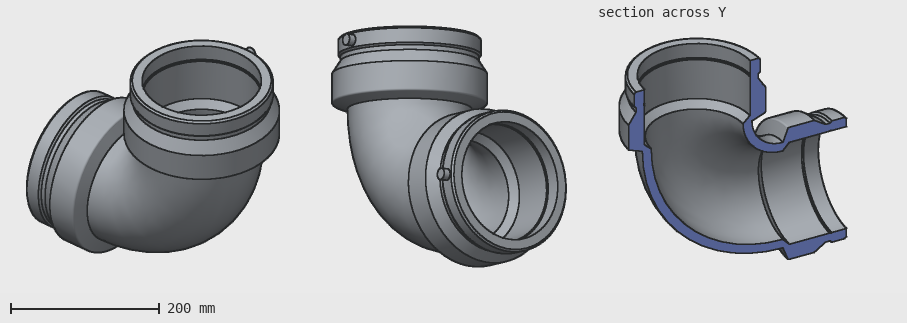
import cadquery as cq

overall = 331.5
socket_diameter = 209.0
socket_length = 96.8
socket_radius = socket_diameter / 2
axis_offset = overall - socket_radius
bend_radius = axis_offset - socket_length

pipe_diameter = 167.5
pipe_bore_diameter = 139.0

rim_radius = 192.2 / 2
neck_radius = 186.5 / 2
rim_bevel = rim_radius - neck_radius
rim_end = 22.5
neck_start = rim_end + rim_bevel
neck_end = 31.8
flare_end = 49.0
shoulder_start = 86.8
shoulder_arc_mid = (104.0, 88.5)
shoulder_arc_end = (102.0, 89.8)

socket_bore_radius = 160.0 / 2
groove_depth = 0.5
bore_taper_start = 86.8

pin_diameter = 15.5
pin_inset = 12.5
pin_reach = 210.5 - socket_radius
pin_embedment = 6.5
pin_root = rim_radius - pin_embedment

upper_plane = cq.Plane(origin=(axis_offset, 0, overall), xDir=(1, 0, 0), normal=(0, 1, 0))
lower_plane = cq.Plane(origin=(0, 0, socket_radius), xDir=(0, 0, 1), normal=(0, 1, 0))


def revolve_about_mouth_axis(profile):
    return profile.close().revolve(360, (0, 0), (0, 1))


def socket_body(plane):
    profile = (
        cq.Workplane(plane)
        .lineTo(neck_radius, 0)
        .lineTo(rim_radius, rim_bevel)
        .lineTo(rim_radius, rim_end)
        .lineTo(neck_radius, neck_start)
        .lineTo(neck_radius, neck_end)
        .lineTo(socket_radius, flare_end)
        .lineTo(socket_radius, shoulder_start)
        .threePointArc(shoulder_arc_mid, shoulder_arc_end)
        .lineTo(pipe_diameter / 2, socket_length)
        .lineTo(0, socket_length)
    )
    return revolve_about_mouth_axis(profile)


def socket_bore(plane):
    groove_radius = socket_bore_radius + groove_depth
    profile = (
        cq.Workplane(plane)
        .lineTo(socket_bore_radius, 0)
        .lineTo(socket_bore_radius, rim_end)
        .lineTo(groove_radius, rim_end)
        .lineTo(groove_radius, neck_start)
        .lineTo(socket_bore_radius, neck_start)
        .lineTo(socket_bore_radius, bore_taper_start)
        .lineTo(pipe_bore_diameter / 2, socket_length)
        .lineTo(0, socket_length)
    )
    return revolve_about_mouth_axis(profile)


def bend(diameter):
    """Solid quarter torus joining the inner ends of the two sockets."""
    path = cq.Workplane("XZ").moveTo(socket_length, socket_radius).radiusArc(
        (axis_offset, socket_radius + bend_radius), -bend_radius
    )
    section = cq.Workplane("YZ", origin=(socket_length, 0, socket_radius))
    return section.circle(diameter / 2).sweep(path)


def terminal_pin(plane):
    """Pin standing out from the rim towards +Y."""
    root_plane = cq.Workplane(plane).workplane(offset=pin_root)
    return root_plane.center(0, pin_inset).circle(pin_diameter / 2).extrude(pin_reach - pin_root)


result = bend(pipe_diameter)
for socket_plane in (upper_plane, lower_plane):
    result = result.union(socket_body(socket_plane))
    result = result.union(terminal_pin(socket_plane))

result = result.cut(bend(pipe_bore_diameter))
for socket_plane in (upper_plane, lower_plane):
    result = result.cut(socket_bore(socket_plane))